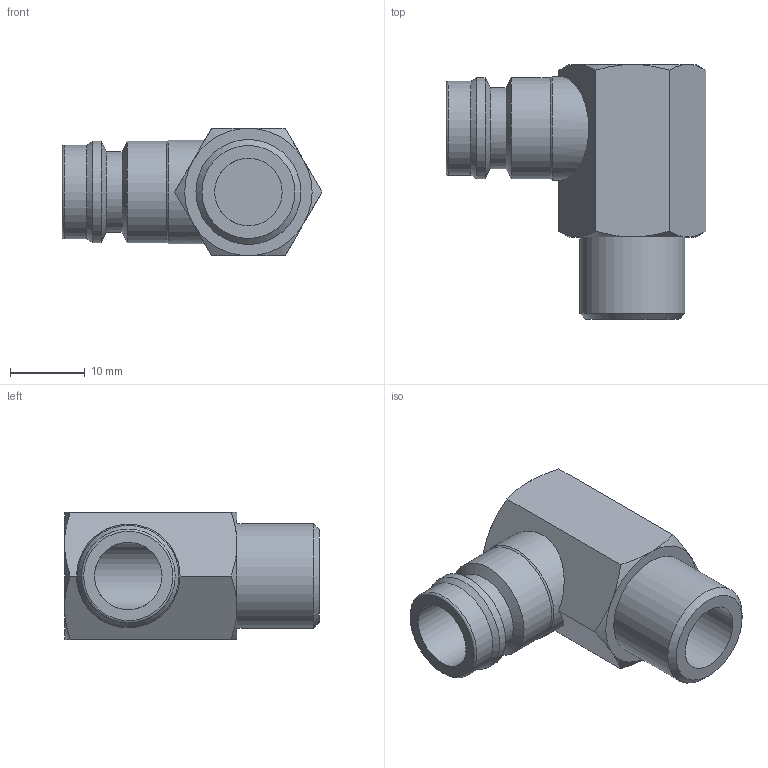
import cadquery as cq
import math


hex_sides = 6
hex_across_flats = 17.0
hex_length = 23.0
hex_back_y = 8.5
hex_chamfer_angle = 30.0

stem_diameter = 14.0
stem_length = 11.0
stem_chamfer = 0.8

nipple_reach = 24.86
tip_diameter = 12.5
collar_diameter = 13.5
groove_diameter = 10.8
sleeve_diameter = 13.5
shank_diameter = 13.8
tip_edge_radius = 0.3

collar_ramp_start = 3.3
collar_start = 4.1
collar_end = 5.2
groove_start = 5.9
groove_end = 8.0
sleeve_start = 8.7
sleeve_end = 13.9
shank_start = 14.15

bore_diameter = 9.0

hex_across_corners = hex_across_flats / math.cos(math.pi / hex_sides)
hex_front_y = hex_back_y - hex_length
stem_end_y = hex_front_y - stem_length
bore_end_y = bore_diameter / 2


def make_hex_body():
    """Hexagonal bar with a corner on +X, its corners turned off at both ends."""
    bar = (
        cq.Workplane("XZ", origin=(0, hex_back_y, 0))
        .polygon(hex_sides, hex_across_corners)
        .extrude(hex_length)
    )
    flat_radius = hex_across_flats / 2
    corner_radius = hex_across_corners / 2
    chamfer_depth = (corner_radius - flat_radius) * math.tan(math.radians(hex_chamfer_angle))
    turned_envelope = (
        cq.Workplane("XY")
        .moveTo(0, hex_front_y)
        .lineTo(flat_radius, hex_front_y)
        .lineTo(corner_radius, hex_front_y + chamfer_depth)
        .lineTo(corner_radius, hex_back_y - chamfer_depth)
        .lineTo(flat_radius, hex_back_y)
        .lineTo(0, hex_back_y)
        .close()
        .revolve(360, (0, 0, 0), (0, 1, 0))
    )
    return bar.intersect(turned_envelope)


def make_stem():
    """Round stem on the -Y end of the body, chamfered at its free end."""
    return (
        cq.Workplane("XZ", origin=(0, hex_front_y, 0))
        .circle(stem_diameter / 2)
        .extrude(stem_length)
        .faces("<Y")
        .chamfer(stem_chamfer)
    )


def make_nipple():
    """Turned nipple reaching from the body axis to its open end at -X, rounded at the tip."""
    distance_and_diameter = [
        (0, tip_diameter),
        (collar_ramp_start, tip_diameter),
        (collar_start, collar_diameter),
        (collar_end, collar_diameter),
        (groove_start, groove_diameter),
        (groove_end, groove_diameter),
        (sleeve_start, sleeve_diameter),
        (sleeve_end, sleeve_diameter),
        (shank_start, shank_diameter),
        (nipple_reach, shank_diameter),
    ]
    outline = [(distance - nipple_reach, diameter / 2) for distance, diameter in distance_and_diameter]
    return (
        cq.Workplane("XY")
        .moveTo(-nipple_reach, 0)
        .polyline(outline, includeCurrent=True)
        .lineTo(0, 0)
        .close()
        .revolve(360, (0, 0, 0), (1, 0, 0))
        .faces("<X")
        .edges()
        .fillet(tip_edge_radius)
    )


def make_passage():
    """Two equal bores at a right angle; the stem bore ends level with the far side of the nipple bore."""
    nipple_bore = (
        cq.Workplane("YZ", origin=(-nipple_reach, 0, 0))
        .circle(bore_diameter / 2)
        .extrude(nipple_reach)
    )
    stem_bore = (
        cq.Workplane("XZ", origin=(0, bore_end_y, 0))
        .circle(bore_diameter / 2)
        .extrude(bore_end_y - stem_end_y)
    )
    return nipple_bore.union(stem_bore)


result = make_hex_body().union(make_stem()).union(make_nipple()).cut(make_passage())